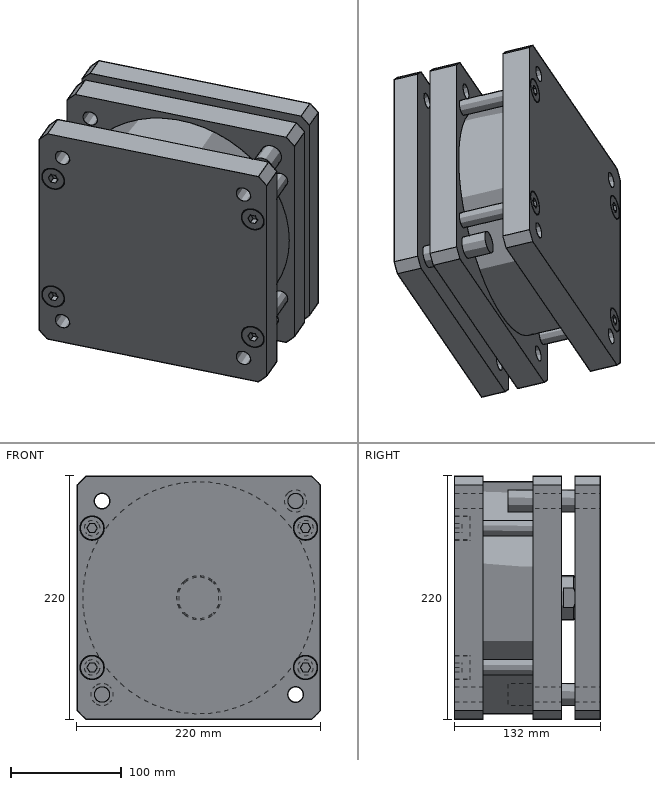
import cadquery as cq
import math

plate_side = 220.0
plate_corner_circle_diameter = 300.0
front_plate_thickness = 26.0
body_length = 45.0
middle_plate_thickness = 26.0
gap = 12.0
back_plate_thickness = 23.0

body_diameter = 210.0

corner_offset = 87.5
through_hole_diameter = 13.84
pin_diameter = 20.0
pin_protrusion = 22.5

screw_x = 96.5
screw_z = 63.0
screw_shank_diameter = 14.0
screw_head_diameter = 21.0
head_recess_diameter = 22.0
screw_head_height = 14.0
hex_socket_width = 8.0
hex_socket_depth = 7.0

rod_diameter = 40.0
rod_flats_width = 36.0
rod_collar_length = 1.5
rod_end_chamfer = 1.2

stack_length = front_plate_thickness + body_length + middle_plate_thickness + gap + back_plate_thickness
front_face = -stack_length / 2
body_start = front_face + front_plate_thickness
middle_start = body_start + body_length
gap_start = middle_start + middle_plate_thickness
back_start = gap_start + gap
pin_start = middle_start - pin_protrusion

screw_points = [(x, z) for x in (-screw_x, screw_x) for z in (-screw_z, screw_z)]
pin_points = [(-corner_offset, -corner_offset), (corner_offset, corner_offset)]
corner_points = [(x, z) for x in (-corner_offset, corner_offset) for z in (-corner_offset, corner_offset)]
open_points = [point for point in corner_points if point not in pin_points]


def section_at(y):
    """Sketch plane at station y, with local X along X, local Y along Z and the normal toward -Y."""
    return cq.Workplane(cq.Plane(origin=(0, y, 0), xDir=(1, 0, 0), normal=(0, -1, 0)))


def round_bars(points, diameter, start, length):
    """Cylinders at the given (X, Z) points, reaching from station start toward +Y."""
    return section_at(start).pushPoints(points).circle(diameter / 2).extrude(-length)


def make_plate(start, thickness, hole_points):
    """Square plate with its corners turned to a common circle and through holes along Y."""
    plate = section_at(start).rect(plate_side, plate_side).extrude(-thickness)
    plate = plate.intersect(round_bars([(0, 0)], plate_corner_circle_diameter, start, thickness))
    return plate.cut(round_bars(hole_points, through_hole_diameter, start, thickness))


def make_rod():
    """Round rod crossing the gap, flattened on two sides beyond a thin full collar."""
    rod = round_bars([(0, 0)], rod_diameter, gap_start, gap)
    rod = rod.faces(">Y").edges().chamfer(rod_end_chamfer)
    flats_start = gap_start + rod_collar_length
    flats = section_at(flats_start).rect(rod_flats_width, rod_diameter).extrude(rod_collar_length - gap)
    collar = round_bars([(0, 0)], rod_diameter, gap_start, rod_collar_length)
    return rod.intersect(flats.union(collar))


def make_head_clearances():
    """Thin ring grooves around the screw heads, which sit flush in the front face."""
    recesses = round_bars(screw_points, head_recess_diameter, front_face, screw_head_height)
    return recesses.cut(round_bars(screw_points, screw_head_diameter, front_face, screw_head_height))


def make_hex_sockets():
    """Hexagonal sockets sunk into the screw heads."""
    corner_diameter = hex_socket_width / math.cos(math.pi / 6)
    sockets = section_at(front_face).pushPoints(screw_points).polygon(6, corner_diameter)
    return sockets.extrude(-hex_socket_depth)


front_plate = make_plate(front_face, front_plate_thickness, corner_points)
middle_plate = make_plate(middle_start, middle_plate_thickness, open_points)
back_plate = make_plate(back_start, back_plate_thickness, open_points)
body = round_bars([(0, 0)], body_diameter, body_start, body_length)
screw_shanks = round_bars(screw_points, screw_shank_diameter, body_start, body_length)
pins = round_bars(pin_points, pin_diameter, pin_start, back_start - pin_start)

result = (
    front_plate.union(body)
    .union(screw_shanks)
    .union(middle_plate)
    .union(pins)
    .union(make_rod())
    .union(back_plate)
    .cut(make_head_clearances())
    .cut(make_hex_sockets())
)